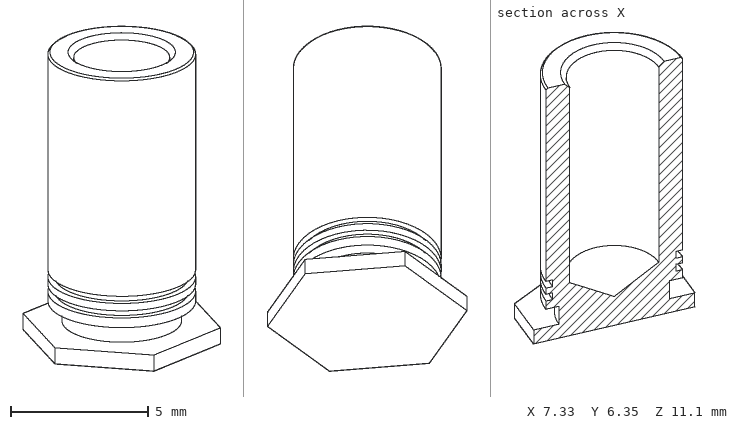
import cadquery as cq
import math

total_height = 11.11
hex_across_flats = 6.35
hex_thickness = 0.63

body_diameter = 5.39
groove_diameter = 4.88
neck_diameter = 4.37
rim_chamfer = 0.08

lower_ring_bottom = 1.4
lower_groove_bottom = 1.78
upper_ring_bottom = 2.05
upper_groove_bottom = 2.34
barrel_bottom = 2.62

bore_diameter = 3.5
mouth_diameter = 3.91
bore_floor_margin = 0.65
drill_point_angle = 118.0


def cylinder(diameter, bottom, top):
    """Solid cylinder about Z between two heights."""
    return cq.Workplane("XY").workplane(offset=bottom).circle(diameter / 2).extrude(top - bottom)


def make_hex_flange():
    """Hexagonal flange with two corners on the X axis."""
    across_corners = hex_across_flats / math.cos(math.radians(30))
    return cq.Workplane("XY").polygon(6, across_corners).extrude(hex_thickness)


def make_body():
    """Neck and grooved barrel, stacked upwards from the flange."""
    body = cylinder(neck_diameter, 0, lower_ring_bottom)
    steps = [
        (body_diameter, lower_ring_bottom, lower_groove_bottom),
        (groove_diameter, lower_groove_bottom, upper_ring_bottom),
        (body_diameter, upper_ring_bottom, upper_groove_bottom),
        (groove_diameter, upper_groove_bottom, barrel_bottom),
    ]
    for diameter, bottom, top in steps:
        body = body.union(cylinder(diameter, bottom, top))
    barrel = cylinder(body_diameter, barrel_bottom, total_height)
    return body.union(barrel.faces(">Z").edges().chamfer(rim_chamfer))


def make_bore():
    """Revolved cutter for the bore, its mouth and its drill point."""
    bore_radius = bore_diameter / 2
    mouth_radius = mouth_diameter / 2
    mouth_depth = mouth_radius - bore_radius
    point_depth = bore_radius / math.tan(math.radians(drill_point_angle / 2))
    point_z = hex_thickness + bore_floor_margin
    profile = [
        (0, point_z),
        (bore_radius, point_z + point_depth),
        (bore_radius, total_height - mouth_depth),
        (mouth_radius, total_height),
        (0, total_height),
    ]
    return cq.Workplane("XZ").polyline(profile).close().revolve(360, (0, 0, 0), (0, 1, 0))


result = make_hex_flange().union(make_body()).cut(make_bore())